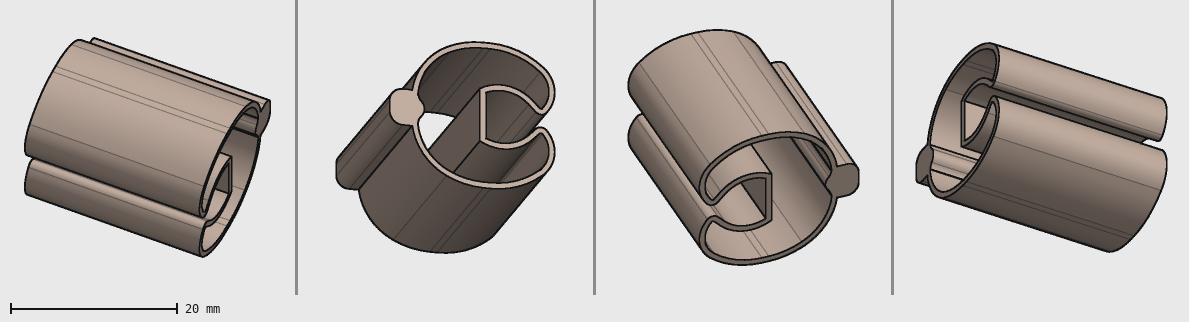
import cadquery as cq
import math

length = 23.0
wall = 0.74
height = 18.6
back_y = 10.3
joint_tolerance = 0.0002

mid_height = (height - wall) / 2
roof_radius = 9.9
roof_back_y = -1.33
roof_front_y = -2.23
roof_back_angle = 63.5
roof_front_angle = 130.7
back_radius = 7.45
back_end_angle = 4.0
side_radius = 3.6
tip_radius = 0.58
lip_radius = 5.08
lip_center_y = -3.68
lip_peak_z = 3.73
lip_line_angle = 135.0

web_back_y = -0.95
web_thickness = 0.78

bead_half_height = 2.3
bead_corner = 1.56
bead_flat_end_y = 7.55
bead_wall_point = (7.43, 2.2)
bead_inner_point = (6.76, 1.8)
bead_inner_bend = (6.65, 1.38)
nose_edge = (6.42, 1.01)
nose_y = 5.98


def polar(center, radius, angle):
    """Point on a circle, with the angle in degrees from +Y toward +Z."""
    turn = math.radians(angle)
    return (center[0] + radius * math.cos(turn), center[1] + radius * math.sin(turn))


def direction(start, end):
    return math.degrees(math.atan2(end[1] - start[1], end[0] - start[0]))


roof_center_z = mid_height - roof_radius
roof_back_center = (roof_back_y, roof_center_z)
roof_front_center = (roof_front_y, roof_center_z)
back_center = polar(roof_back_center, roof_radius - back_radius, roof_back_angle)
side_end = polar(roof_front_center, roof_radius, roof_front_angle)
side_center = polar(side_end, -side_radius, roof_front_angle)
lip_center = (lip_center_y, lip_peak_z - lip_radius)


def find_tip_center():
    """Centre of the tip arc, tangent to the side arc and to the straight lip."""
    offset_line = polar(lip_center, lip_radius + tip_radius, lip_line_angle)
    reach = side_radius - tip_radius
    gap = math.dist(offset_line, side_center)
    angle = math.radians(direction(offset_line, side_center) - (lip_line_angle + 90))
    along = gap * math.cos(angle)
    across = gap * math.sin(angle)
    return polar(offset_line, along + math.sqrt(reach**2 - across**2), lip_line_angle + 90)


tip_center = find_tip_center()
tip_start_angle = direction(side_center, tip_center) % 360
tip_end_angle = lip_line_angle + 180


def wall_arcs(offset):
    """Arcs (centre, radius, start, end) of the wall face offset outward from the centreline."""
    lip_face_radius = lip_radius - offset
    lip_end_angle = math.degrees(math.acos((web_back_y - lip_center_y) / lip_face_radius))
    return [
        (back_center, back_radius + offset, back_end_angle, roof_back_angle),
        (roof_back_center, roof_radius + offset, roof_back_angle, 90),
        (roof_front_center, roof_radius + offset, 90, roof_front_angle),
        (side_center, side_radius + offset, roof_front_angle, tip_start_angle),
        (tip_center, tip_radius + offset, tip_start_angle, tip_end_angle),
        (lip_center, lip_face_radius, lip_line_angle, lip_end_angle),
    ]


def upper_wall():
    """Wall outline: along the outer face to the web, then back along the inner face."""
    outer = wall_arcs(wall / 2)
    inner = [(center, radius, end, start) for center, radius, start, end in reversed(wall_arcs(-wall / 2))]
    first_center, first_radius, first_angle, _ = outer[0]
    position = polar(first_center, first_radius, first_angle)
    sketch = cq.Workplane("YZ").moveTo(*position)
    for center, radius, start, end in outer + inner:
        arc_start = polar(center, radius, start)
        if math.dist(position, arc_start) > joint_tolerance:
            sketch = sketch.lineTo(*arc_start)
        position = polar(center, radius, end)
        sketch = sketch.threePointArc(polar(center, radius, (start + end) / 2), position)
    return sketch.close().extrude(length)


def upper_web():
    web_front_y = web_back_y - web_thickness
    top_z = lip_center[1] + math.sqrt(lip_radius**2 - (web_back_y - lip_center_y) ** 2)
    return (
        cq.Workplane("YZ")
        .moveTo(web_front_y, 0)
        .lineTo(web_back_y, 0)
        .lineTo(web_back_y, top_z)
        .lineTo(web_front_y, top_z)
        .close()
        .extrude(length)
    )


def upper_bead():
    corner_center = (back_y - bead_corner, bead_half_height - bead_corner)
    nose_radius = ((nose_edge[0] - nose_y) ** 2 + nose_edge[1] ** 2) / (2 * (nose_edge[0] - nose_y))
    nose_center = (nose_y + nose_radius, 0)
    nose_middle_angle = (direction(nose_center, nose_edge) + 180) / 2
    return (
        cq.Workplane("YZ")
        .moveTo(nose_y, 0)
        .lineTo(back_y, 0)
        .lineTo(back_y, corner_center[1])
        .threePointArc(polar(corner_center, bead_corner, 45), (corner_center[0], bead_half_height))
        .lineTo(bead_flat_end_y, bead_half_height)
        .lineTo(*bead_wall_point)
        .lineTo(*bead_inner_point)
        .threePointArc(bead_inner_bend, nose_edge)
        .threePointArc(polar(nose_center, nose_radius, nose_middle_angle), (nose_y, 0))
        .close()
        .extrude(length)
    )


upper_half = upper_wall().union(upper_web()).union(upper_bead())
result = upper_half.union(upper_half.mirror("XY")).clean()